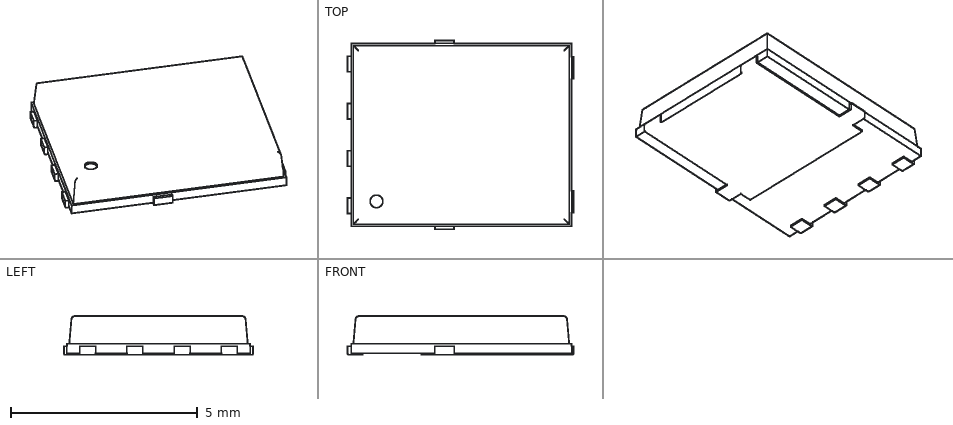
import cadquery as cq

base_length = 5.9
base_width = 4.9
contact_thickness = 0.04
base_top = 0.3
total_height = 1.04
cap_inset = 0.06
cap_draft = 5
cap_rounding = 0.1

mark_diameter = 0.34
mark_depth = 0.055
mark_x = -2.27
mark_y = -1.78

tab_height = 0.235
tab_corner_radius = 0.04
side_tab_corner_radius = 0.03
pin_count = 4
pin_pitch = 1.265
pin_width = 0.425
pin_reach = 0.095
pin_length = 0.41
drain_tab_width = 0.585
drain_tab_spacing = 3.59
drain_tab_reach = 0.055
side_tab_width = 0.515
side_tab_reach = 0.08
side_tab_x = -0.45
pad_left = -1.065
pad_width = drain_tab_spacing + drain_tab_width

half_length = base_length / 2
tab_span = base_width + 2 * side_tab_reach


def block(x_min, x_max, y_center, width, height):
    """Block standing on the bottom plane."""
    return (
        cq.Workplane("XY")
        .box(x_max - x_min, width, height, centered=(False, True, False))
        .translate((x_min, y_center, 0))
    )


def make_body():
    base = (
        cq.Workplane("XY")
        .workplane(offset=contact_thickness)
        .rect(base_length, base_width)
        .extrude(base_top - contact_thickness)
    )
    cap = (
        cq.Workplane("XY")
        .workplane(offset=base_top)
        .rect(base_length - 2 * cap_inset, base_width - 2 * cap_inset)
        .extrude(total_height - base_top, taper=cap_draft)
        .faces(">Z")
        .edges()
        .fillet(cap_rounding)
    )
    mark = (
        cq.Workplane("XY")
        .workplane(offset=total_height - mark_depth)
        .center(mark_x, mark_y)
        .circle(mark_diameter / 2)
        .extrude(mark_depth)
    )
    return base.union(cap).cut(mark)


def make_pin(y_center):
    x_min = -half_length - pin_reach
    foot = block(x_min, x_min + pin_length, y_center, pin_width, contact_thickness)
    tab = block(x_min, -half_length, y_center, pin_width, tab_height)
    return foot.union(tab).edges("|Y and <X and <Z").fillet(tab_corner_radius)


def make_drain_tab(y_center):
    x_max = half_length + drain_tab_reach
    foot = block(pad_left, x_max, y_center, drain_tab_width, contact_thickness)
    tab = block(half_length, x_max, y_center, drain_tab_width, tab_height)
    return foot.union(tab).edges("|Y and >X and <Z").fillet(tab_corner_radius)


def make_side_tabs():
    """Strip across the underside, with a tab standing at each end."""
    x_min = side_tab_x - side_tab_width / 2
    x_max = side_tab_x + side_tab_width / 2
    strip = block(x_min, x_max, 0, tab_span, contact_thickness)
    for side in (-1, 1):
        y_center = side * (base_width + side_tab_reach) / 2
        strip = strip.union(block(x_min, x_max, y_center, side_tab_reach, tab_height))
    return strip.edges("|X and <Z").edges("<Y or >Y").fillet(side_tab_corner_radius)


result = make_body()
for index in range(pin_count):
    result = result.union(make_pin((index - (pin_count - 1) / 2) * pin_pitch))
result = result.union(block(pad_left, half_length, 0, pad_width, contact_thickness))
for side in (-1, 1):
    result = result.union(make_drain_tab(side * drain_tab_spacing / 2))
result = result.union(make_side_tabs())